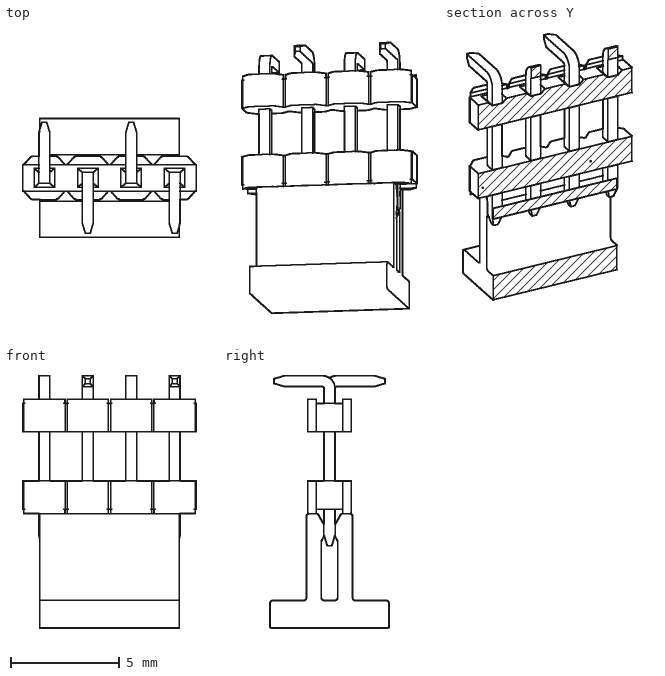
import cadquery as cq

pin_count = 4
pitch = 2.0
pin_width = 0.51
pin_tip_width = 0.22
pin_tip_length = 0.49
pin_bottom = 3.8
pin_reach = 2.56
bend_radius = 0.6
total_height = 11.65

block_length = 8.0
core_depth = 1.21
tooth_depth = 2.02
tooth_root_width = 1.91
tooth_crest_width = 1.19
tooth_rounding = 0.23
block_height = 1.51
core_height = 1.32
upper_block_bottom = 9.05
funnel_length = 0.94
funnel_width = 0.89
funnel_depth = 0.21

base_length = 6.45
base_depth = 5.5
base_height = 1.28
base_top_rounding = 0.14
base_bottom_rounding = 0.08
wall_top = 5.28
walls_depth = 2.14
wall_root_rounding = 0.12
wall_top_rounding = 0.12
slot_width = 0.76
slot_rounding = 0.14
mouth_width = 1.07
grip_bottom = 4.22
grip_top = 4.79
slot_shoulder = 4.01

pin_positions = [(i - (pin_count - 1) / 2) * pitch for i in range(pin_count)]


def box_on(length, depth, height, bottom):
    """Box centred in X and Y, standing at the given height."""
    return cq.Workplane("XY").workplane(offset=bottom).rect(length, depth).extrude(height)


def turned_about_z(body, degrees):
    """Copy of a body turned about the Z axis."""
    return body.rotate((0, 0, 0), (0, 0, 1), degrees)


def edges_along_x(y, z):
    """Selector for the two full-length edges along X at height z, one on each side of the centre."""
    margin = 0.001
    near, far = [
        cq.selectors.BoxSelector(
            (-margin, side * y - margin, z - margin),
            (margin, side * y + margin, z + margin),
        )
        for side in (-1, 1)
    ]
    return near + far


def make_base():
    """Foot with two walls that pinch the lower ends of the pins."""
    base = box_on(base_length, base_depth, base_height, 0)
    base = base.union(box_on(base_length, walls_depth, wall_top - base_height, base_height))

    half_slot = slot_width / 2
    half_grip = pin_width / 2
    half_mouth = mouth_width / 2
    right_side = [
        (half_slot, base_height),
        (half_slot, slot_shoulder),
        (half_grip, grip_bottom),
        (half_grip, grip_top),
        (half_mouth, wall_top),
    ]
    left_side = [(-y, z) for y, z in reversed(right_side)]
    slot = cq.Workplane("YZ").polyline(right_side + left_side).close().extrude(base_length / 2, both=True)
    base = base.cut(slot)

    roundings = [
        (base_depth / 2, 0, base_bottom_rounding),
        (base_depth / 2, base_height, base_top_rounding),
        (walls_depth / 2, base_height, wall_root_rounding),
        (walls_depth / 2, wall_top, wall_top_rounding),
        (half_slot, base_height, slot_rounding),
    ]
    for y, z, radius in roundings:
        base = base.edges(edges_along_x(y, z)).fillet(radius)
    return base


def make_teeth(bottom):
    """One tooth on each side of the core for every pin, wide at the core and rounded at the crest."""
    half_root = tooth_root_width / 2
    half_crest = tooth_crest_width / 2
    half_core = core_depth / 2
    half_tooth = tooth_depth / 2
    tooth = (
        cq.Workplane("XY")
        .workplane(offset=bottom)
        .moveTo(-half_root, half_core)
        .lineTo(-half_crest, half_tooth)
        .lineTo(half_crest, half_tooth)
        .lineTo(half_root, half_core)
        .close()
        .extrude(block_height)
        .edges("|Z and >Y")
        .fillet(tooth_rounding)
    )
    return [turned_about_z(tooth, turn).translate((x, 0, 0)) for x in pin_positions for turn in (0, 180)]


def make_block(bottom, core_bottom):
    """Insulator: a straight core with teeth along both long sides."""
    block = box_on(block_length, core_depth, core_height, core_bottom)
    for tooth in make_teeth(bottom):
        block = block.union(tooth)
    return block


def cut_funnels(block, top):
    """Tapered lead-in around each pin in the top of the core."""
    for x in pin_positions:
        funnel = (
            cq.Workplane("XY", origin=(x, 0, top))
            .rect(funnel_length, funnel_width)
            .workplane(offset=-funnel_depth)
            .rect(pin_width, pin_width)
            .loft(ruled=True)
        )
        block = block.cut(funnel)
    return block


def make_tip(plane):
    """Square taper that starts on the plane and runs along its normal."""
    return (
        cq.Workplane(plane)
        .rect(pin_width, pin_width)
        .workplane(offset=pin_tip_length)
        .rect(pin_tip_width, pin_tip_width)
        .loft(ruled=True)
    )


def make_pin():
    """Square pin on the Z axis whose upper leg is bent towards -Y."""
    half = pin_width / 2
    shank_bottom = pin_bottom + pin_tip_length
    leg_end = -(pin_reach - pin_tip_length)
    leg_bottom = total_height - pin_width
    inner_radius = bend_radius - pin_width
    bend_centre_y = half - bend_radius
    bend_centre_z = total_height - bend_radius
    profile = (
        cq.Workplane("YZ")
        .moveTo(-half, shank_bottom)
        .lineTo(half, shank_bottom)
        .lineTo(half, bend_centre_z)
        .radiusArc((bend_centre_y, total_height), -bend_radius)
        .lineTo(leg_end, total_height)
        .lineTo(leg_end, leg_bottom)
        .lineTo(bend_centre_y, leg_bottom)
        .radiusArc((-half, bend_centre_z), inner_radius)
        .close()
    )
    shank = profile.extrude(half, both=True)
    lower_tip = make_tip(cq.Plane((0, 0, shank_bottom), (1, 0, 0), (0, 0, -1)))
    leg_tip = make_tip(cq.Plane((0, leg_end, total_height - half), (1, 0, 0), (0, -1, 0)))
    return shank.union(lower_tip).union(leg_tip)


lower_block_bottom = wall_top
lower_core_bottom = lower_block_bottom + block_height - core_height
upper_core_top = upper_block_bottom + core_height

result = make_base()
result = result.union(make_block(lower_block_bottom, lower_core_bottom))
upper_block = make_block(upper_block_bottom, upper_block_bottom)
result = result.union(cut_funnels(upper_block, upper_core_top))

pin = make_pin()
for index, x in enumerate(pin_positions):
    turn = 180 if index % 2 == 0 else 0
    result = result.union(turned_about_z(pin, turn).translate((x, 0, 0)))